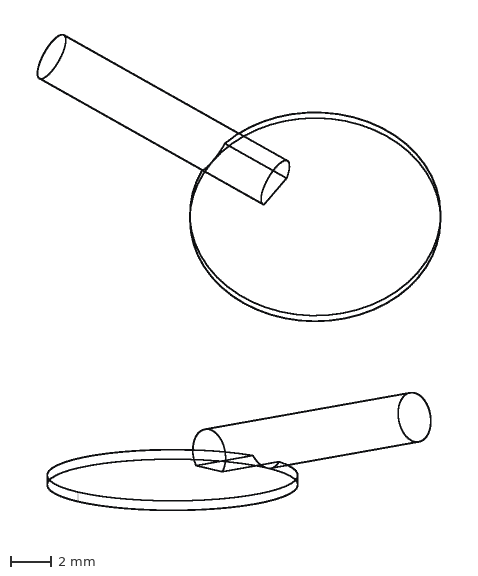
import cadquery as cq

total_length = 22.25
disc_diameter = 12.5
disc_thickness = 0.5
rod_diameter = 2.5
rod_length = 13.57

disc_radius = disc_diameter / 2
rod_radius = rod_diameter / 2
disc_center_x = total_length - disc_radius


def make_disc():
    """Flat round disc lying on the base plane."""
    return cq.Workplane("XY").center(disc_center_x, 0).circle(disc_radius).extrude(disc_thickness)


def make_rod():
    """Round rod along X, made of a lower and an upper half arc, its lowest line on the base plane."""
    return (
        cq.Workplane("YZ")
        .moveTo(-rod_radius, rod_radius)
        .threePointArc((0, 0), (rod_radius, rod_radius))
        .threePointArc((0, rod_diameter), (-rod_radius, rod_radius))
        .close()
        .extrude(rod_length)
    )


def make_paddle():
    """One-piece paddle: the rod is the handle and runs into the disc, ending inside its outline."""
    return make_disc().union(make_rod(), clean=False)


paddle = make_paddle()

result = cq.Compound.makeCompound(paddle.solids().vals())